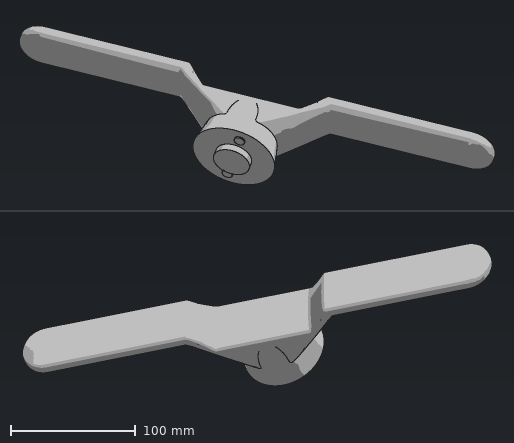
import cadquery as cq
import math


length = 399.5
grip_half_width = 20.0
grip_front = 53.0
grip_back = 70.5
front_crown_radius = 33.0
back_crown_radius = 76.0
edge_radius = 3.5
grip_end = length / 2 - grip_half_width

front_bend = 62.7
back_bend = 58.0
web_half_length = 40.5
web_back = 50.5
web_front = 12.0
taper_start = 57.5
flare = 0.21

face_radius = 69.0 / 2
collar_start = 14.5
collar_radius = 31.5
shoulder = 20.0
shoulder_radius = 30.5
dome_middle = 34.0
dome_middle_radius = 26.8
dome_tip = 45.5
dome_tip_radius = 22.0
spigot_radius = 15.0
spigot_height = 6.0
pin_count = 2
pin_radius = 4.5
pin_height = 1.0
pin_circle_radius = 23.5
pin_angle = 77.5

SIDE_SLOPE_LIMIT = 0.4
BEND_MARGIN = 4.0
REACH = 120.0
REGION_HALF_WIDTH = 32.0


def crown_drop(z, radius):
    """Fall of a crown of the given radius at a distance z from its centre line."""
    return radius - math.sqrt(radius**2 - z**2)


def crowned_region(path, crown_radius, inward):
    """Material on the inward side (+1 or -1 in Y) of a crowned surface that follows an XY path."""
    region = None
    edge_drop = inward * crown_drop(REGION_HALF_WIDTH, crown_radius)
    for (x0, y0), (x1, y1) in zip(path, path[1:]):
        section = (
            cq.Workplane("YZ", origin=(x0, 0, 0))
            .moveTo(y0 + edge_drop, -REGION_HALF_WIDTH)
            .threePointArc((y0, 0), (y0 + edge_drop, REGION_HALF_WIDTH))
            .lineTo(y0 + inward * REACH, REGION_HALF_WIDTH)
            .lineTo(y0 + inward * REACH, -REGION_HALF_WIDTH)
            .close()
        )
        prism = cq.Solid.extrudeLinear(section.val(), [], cq.Vector(x1 - x0, y1 - y0, 0))
        piece = cq.Workplane(prism)
        region = piece if region is None else region.union(piece)
    return region


def side_region():
    """Parallel grip sides that flare towards the hub, running along X."""
    hub_half_width = grip_half_width + flare * (taper_start - web_front)
    return (
        cq.Workplane("YZ")
        .moveTo(web_front, -hub_half_width)
        .lineTo(taper_start, -grip_half_width)
        .lineTo(grip_back, -grip_half_width)
        .lineTo(grip_back, grip_half_width)
        .lineTo(taper_start, grip_half_width)
        .lineTo(web_front, hub_half_width)
        .close()
        .extrude(grip_end)
    )


def rounded_end():
    """Half turn of the grip section about a Y-parallel axis at the end of the grip."""
    front_edge = grip_front + crown_drop(grip_half_width, front_crown_radius)
    back_edge = grip_back - crown_drop(grip_half_width, back_crown_radius)
    middle = grip_half_width / 2
    return (
        cq.Workplane("YZ", origin=(grip_end, 0, 0))
        .moveTo(grip_front, 0)
        .threePointArc(
            (grip_front + crown_drop(middle, front_crown_radius), middle),
            (front_edge, grip_half_width),
        )
        .lineTo(back_edge, grip_half_width)
        .threePointArc(
            (grip_back - crown_drop(middle, back_crown_radius), middle),
            (grip_back, 0),
        )
        .close()
        .revolve(180, (0, 0, 0), (1, 0, 0))
    )


def bar_blank():
    """Cranked bar with crowned faces and sharp edges, symmetric about X = 0."""
    front_path = [(grip_end, grip_front), (front_bend, grip_front), (0, grip_front - front_bend)]
    back_path = [
        (grip_end, grip_back),
        (back_bend, grip_back),
        (web_half_length, web_back),
        (0, web_back),
    ]
    half = (
        side_region()
        .intersect(crowned_region(front_path, front_crown_radius, 1))
        .intersect(crowned_region(back_path, back_crown_radius, -1))
        .union(rounded_end())
    )
    return half.union(half.mirror("YZ"))


def is_side_face(face):
    """True for faces that stand along Y, such as the grip sides and the rounded ends."""
    return abs(face.normalAt().y) < SIDE_SLOPE_LIMIT


def is_rounded_edge(edge, body):
    """True for the rims between sides and crowns, and for the bends of the crowned faces."""
    bounds = edge.BoundingBox()
    if bounds.ymax < shoulder:
        return False
    touching = [face for face in body.faces().vals() if any(edge.isSame(e) for e in face.Edges())]
    side_count = sum(is_side_face(face) for face in touching)
    is_bend = side_count == 0 and abs(edge.Center().x) <= front_bend + BEND_MARGIN
    return side_count == 1 or is_bend


def bar():
    """Bar with its rims and bends rounded."""
    blank = bar_blank()
    return blank.edges().filter(lambda edge: is_rounded_edge(edge, blank)).fillet(edge_radius)


def hub():
    """Hub with a conical collar, a bulging dome, a spigot and two locating pins on its mounting face."""
    body = (
        cq.Workplane("XY")
        .moveTo(0, -spigot_height)
        .lineTo(spigot_radius, -spigot_height)
        .lineTo(spigot_radius, 0)
        .lineTo(face_radius, 0)
        .lineTo(collar_radius, collar_start)
        .lineTo(shoulder_radius, shoulder)
        .threePointArc((dome_middle_radius, dome_middle), (dome_tip_radius, dome_tip))
        .lineTo(0, dome_tip)
        .close()
        .revolve(360, (0, 0, 0), (0, 1, 0))
    )
    pins = (
        cq.Workplane("XZ")
        .polarArray(pin_circle_radius, pin_angle, 360, pin_count)
        .circle(pin_radius)
        .extrude(pin_height)
    )
    return body.union(pins)


result = bar().union(hub())